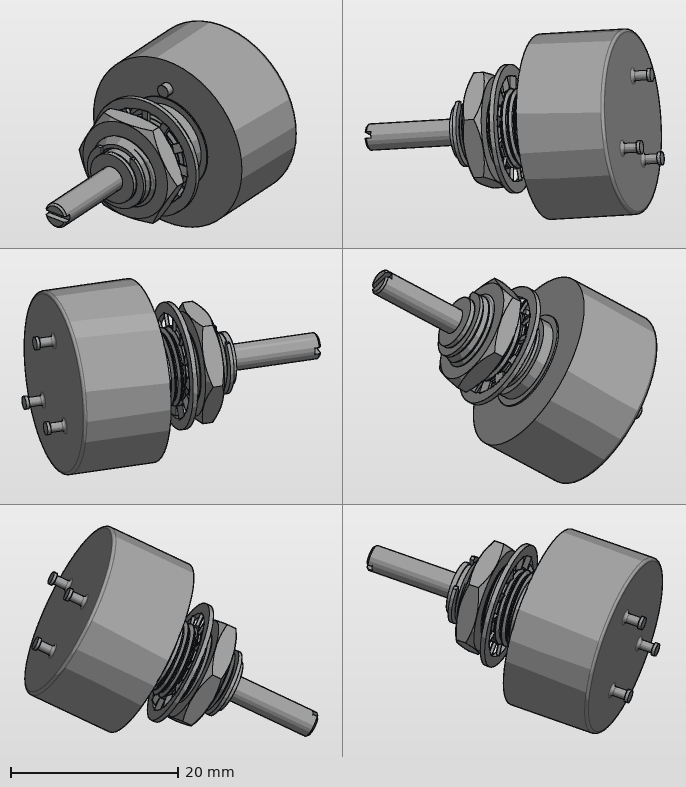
import cadquery as cq
import math


OVERALL_LENGTH = 35.66

BODY_DIAMETER = 22.225
BODY_LENGTH = 11.0
BODY_REAR_FILLET = 0.35

FLANGE_DIAMETER = 12.0
FLANGE_END = 0.2
COLLAR_DIAMETER = 10.3
COLLAR_END = 1.6
BUSHING_END = 9.58
GROOVE_DIAMETER = 6.2
GROOVE_END = 10.38
NOSE_DIAMETER = 6.45
NOSE_END = 11.02

BORE_DIAMETER = 6.7
BORE_DEPTH = 0.5

THREAD_DIAMETER = 9.525
THREAD_PITCH = 25.4 / 32
THREAD_ROOT_DIAMETER = 8.56
THREAD_START = 2.25
THREAD_CREST_DEPTH = 2.53
THREAD_CREST_WIDTH = 0.1
THREAD_ROOT_GAP = 0.04
THREAD_ROOT_OVERLAP = 0.1
THREAD_OVERRUN = 4 * THREAD_PITCH
THREAD_CLEARANCE = 0.5
THREAD_CHAMFER = 0.92

SHAFT_DIAMETER = 3.175
SHAFT_END = 22.28
SHAFT_CHAMFER = 0.25
SLOT_WIDTH = 0.78
SLOT_DEPTH = 0.8

PIN_DIAMETER = 1.5875
PIN_LENGTH = 0.96
PIN_OFFSET = 7.37

NUT_SIDES = 6
NUT_ACROSS_FLATS = 12.75
NUT_REAR = 6.0
NUT_THICKNESS = 2.4
NUT_CHAMFER_ANGLE = 30
NUT_FACE_DIAMETER = 12.65

WASHER_DIAMETER = 15.4
WASHER_RING_INNER_DIAMETER = 12.7
WASHER_REAR = 3.97
WASHER_THICKNESS = 0.58
TOOTH_COUNT = 12
TOOTH_WIDTH = 1.15
TOOTH_THICKNESS = 0.4
TOOTH_TWIST = -20
TOOTH_RING_OVERLAP = 0.1
TOOTH_HUB_OVERLAP = 0.05
WASHER_HUB_DIAMETER = 9.7
WASHER_HUB_THICKNESS = 0.3

CLIP_DIAMETER = 8.4
CLIP_REAR = 9.9
CLIP_THICKNESS = 0.45
CLIP_OPENING = 4.4
CLIP_TIP_HEIGHT = 3.2

TERMINAL_CIRCLE_RADIUS = 5.54
TERMINAL_ANGLES = (90, 225, 315)
TERMINAL_LENGTH = OVERALL_LENGTH - SHAFT_END - BODY_LENGTH
TERMINAL_STEM_DIAMETER = 1.14
TERMINAL_HEAD_DIAMETER = 1.58
TERMINAL_HEAD_THICKNESS = 0.44
TERMINAL_FLARE_RADIUS = 0.4


def plane_at(depth):
    """Work plane facing forward (-Y); its x is X and its y is Z."""
    return cq.Workplane("XZ", origin=(0, -depth, 0))


def disc(diameter, start, end):
    return plane_at(start).circle(diameter / 2).extrude(end - start)


def make_body():
    body = disc(BODY_DIAMETER, -BODY_LENGTH, 0)
    return body.faces(">Y").edges().fillet(BODY_REAR_FILLET)


def make_bushing():
    bushing = disc(FLANGE_DIAMETER, 0, FLANGE_END)
    bushing = bushing.union(disc(COLLAR_DIAMETER, 0, COLLAR_END))
    bushing = bushing.union(make_threaded_length())
    bushing = bushing.cut(disc(BORE_DIAMETER, BUSHING_END - BORE_DEPTH, BUSHING_END))
    bushing = bushing.union(disc(GROOVE_DIAMETER, BUSHING_END - BORE_DEPTH, GROOVE_END))
    return bushing.union(disc(NOSE_DIAMETER, GROOVE_END, NOSE_END))


def make_threaded_length():
    """Neck and thread, chamfered at the front end."""
    core = disc(THREAD_ROOT_DIAMETER, 0, BUSHING_END + THREAD_OVERRUN)
    threaded = core.union(make_thread_ridge())
    envelope_diameter = THREAD_DIAMETER + 2 * THREAD_CLEARANCE
    envelope = disc(envelope_diameter, THREAD_START, BUSHING_END)
    envelope = envelope.faces("<Y").edges().chamfer(THREAD_CHAMFER + THREAD_CLEARANCE)
    return threaded.intersect(envelope).union(disc(THREAD_ROOT_DIAMETER, 0, THREAD_START))


def make_thread_ridge():
    root_radius = THREAD_ROOT_DIAMETER / 2 - THREAD_ROOT_OVERLAP
    crest_radius = THREAD_DIAMETER / 2
    half_root = (THREAD_PITCH - THREAD_ROOT_GAP) / 2
    half_crest = THREAD_CREST_WIDTH / 2
    start = THREAD_CREST_DEPTH - THREAD_PITCH
    turns = math.ceil((BUSHING_END - start) / THREAD_PITCH)
    helix = cq.Wire.makeHelix(THREAD_PITCH, turns * THREAD_PITCH, root_radius)
    ridge = (
        cq.Workplane("XZ")
        .moveTo(root_radius, -half_root)
        .lineTo(crest_radius, -half_crest)
        .lineTo(crest_radius, half_crest)
        .lineTo(root_radius, half_root)
        .close()
        .sweep(cq.Workplane(helix), isFrenet=True)
    )
    ridge = ridge.rotate((0, 0, 0), (0, 0, 1), 90).rotate((0, 0, 0), (1, 0, 0), 90)
    return ridge.translate((0, -start, 0))


def make_shaft():
    shaft = disc(SHAFT_DIAMETER, 0, SHAFT_END)
    shaft = shaft.faces("<Y").edges().chamfer(SHAFT_CHAMFER)
    slot = plane_at(SHAFT_END - SLOT_DEPTH).rect(SHAFT_DIAMETER, SLOT_WIDTH).extrude(SLOT_DEPTH)
    return shaft.cut(slot)


def make_pin():
    return plane_at(0).center(0, PIN_OFFSET).circle(PIN_DIAMETER / 2).extrude(PIN_LENGTH)


def make_nut():
    corner_diameter = NUT_ACROSS_FLATS / math.cos(math.pi / NUT_SIDES)
    nut = plane_at(NUT_REAR).polygon(NUT_SIDES, corner_diameter).extrude(NUT_THICKNESS)
    blank_radius = corner_diameter / 2
    face_radius = NUT_FACE_DIAMETER / 2
    drop = (blank_radius - face_radius) * math.tan(math.radians(NUT_CHAMFER_ANGLE))
    rear = -NUT_REAR
    front = rear - NUT_THICKNESS
    blank = (
        cq.Workplane("XY")
        .moveTo(0, rear)
        .lineTo(face_radius, rear)
        .lineTo(blank_radius, rear - drop)
        .lineTo(blank_radius, front + drop)
        .lineTo(face_radius, front)
        .lineTo(0, front)
        .close()
        .revolve(360, (0, 0), (0, 1))
    )
    return nut.intersect(blank)


def make_washer():
    ring_radius = WASHER_RING_INNER_DIAMETER / 2
    washer = (
        plane_at(WASHER_REAR)
        .circle(WASHER_DIAMETER / 2)
        .circle(ring_radius)
        .extrude(WASHER_THICKNESS)
    )
    mid_depth = WASHER_REAR + WASHER_THICKNESS / 2
    inner = WASHER_HUB_DIAMETER / 2 - TOOTH_HUB_OVERLAP
    outer = ring_radius + TOOTH_RING_OVERLAP
    tooth = (
        cq.Workplane("XY")
        .box(outer - inner, TOOTH_THICKNESS, TOOTH_WIDTH)
        .rotate((0, 0, 0), (1, 0, 0), TOOTH_TWIST)
        .translate(((outer + inner) / 2, -mid_depth, 0))
    )
    washer = washer.union(
        plane_at(mid_depth - WASHER_HUB_THICKNESS / 2)
        .circle(WASHER_HUB_DIAMETER / 2)
        .circle(THREAD_ROOT_DIAMETER / 2 - THREAD_ROOT_OVERLAP)
        .extrude(WASHER_HUB_THICKNESS)
    )
    for index in range(TOOTH_COUNT):
        angle = index * 360 / TOOTH_COUNT
        washer = washer.union(tooth.rotate((0, 0, 0), (0, 1, 0), angle))
    return washer


def make_clip():
    clip = disc(CLIP_DIAMETER, CLIP_REAR, CLIP_REAR + CLIP_THICKNESS)
    clip = clip.cut(clip_cutter(CLIP_DIAMETER, CLIP_TIP_HEIGHT))
    return clip.cut(clip_cutter(CLIP_OPENING, 0))


def clip_cutter(width, bottom):
    """Block of the clip's thickness, reaching up past its rim from the given Z."""
    return (
        plane_at(CLIP_REAR)
        .center(0, bottom + CLIP_DIAMETER / 2)
        .rect(width, CLIP_DIAMETER)
        .extrude(CLIP_THICKNESS)
    )


def make_terminal():
    """Turret terminal standing on the rear face, on the body axis."""
    stem = TERMINAL_STEM_DIAMETER / 2
    head = TERMINAL_HEAD_DIAMETER / 2
    flare = TERMINAL_FLARE_RADIUS
    top = BODY_LENGTH + TERMINAL_LENGTH
    arc_offset = flare * (1 - math.sqrt(0.5))
    return (
        cq.Workplane("XY")
        .moveTo(0, BODY_LENGTH)
        .lineTo(stem + flare, BODY_LENGTH)
        .threePointArc((stem + arc_offset, BODY_LENGTH + arc_offset), (stem, BODY_LENGTH + flare))
        .lineTo(stem, top - TERMINAL_HEAD_THICKNESS)
        .lineTo(head, top - TERMINAL_HEAD_THICKNESS)
        .lineTo(head, top)
        .lineTo(0, top)
        .close()
        .revolve(360, (0, 0), (0, 1))
    )


def make_terminals():
    terminals = cq.Workplane("XY")
    for angle in TERMINAL_ANGLES:
        x = TERMINAL_CIRCLE_RADIUS * math.cos(math.radians(angle))
        z = TERMINAL_CIRCLE_RADIUS * math.sin(math.radians(angle))
        terminals = terminals.add(make_terminal().translate((x, 0, z)))
    return terminals.combine()


result = (
    make_body()
    .union(make_bushing())
    .union(make_shaft())
    .union(make_pin())
    .union(make_washer())
    .union(make_nut())
    .union(make_clip())
    .union(make_terminals())
)